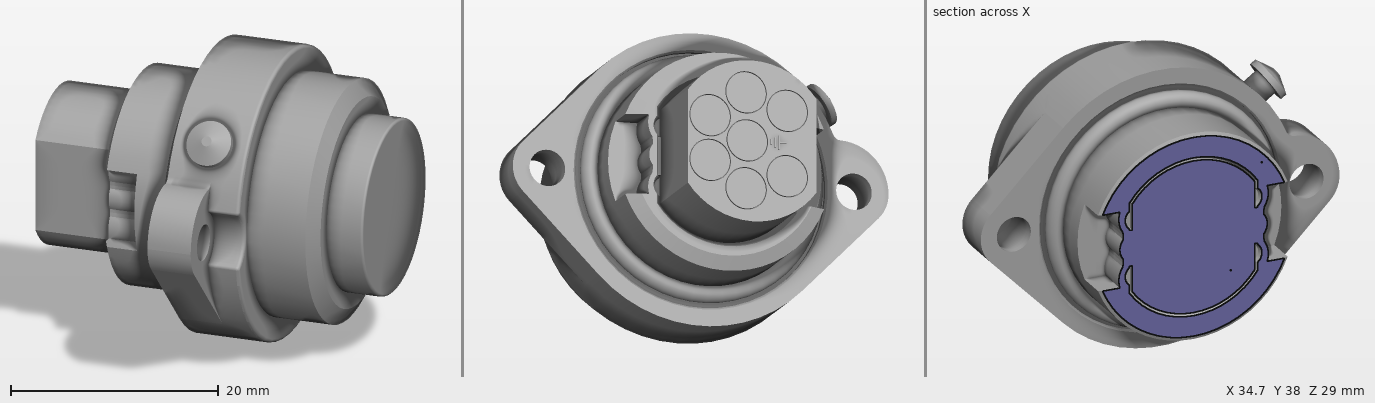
import cadquery as cq
import math


insert_face = -16.25
body_face = -8.2
slot_end = -4.45
ear_back = 4.45
flange_back = 7.6
nut_back = 14.55
rear_end = 18.25

body_radius = 21.6 / 2
body_chamfer_length = 0.65
body_chamfer_height = 1.35
nut_radius = 24.0 / 2
nut_chamfer_length = 0.95
nut_chamfer_height = 1.65
collar_radius = 17.4 / 2
collar_fillet = 0.25

flange_radius = 29.0 / 2
flange_fillet = 0.35
hole_offset = 15.5
hole_diameter = 3.6
ear_radius = 3.5
wide_ear_radius = 5.0
ear_tip = hole_offset + ear_radius
wide_ear_fillet = 0.8
ear_back_fillet = 0.25
relief_radius = 3.0
relief_fillet = 0.3

groove_radius = 25.7 / 2
groove_rim_chamfer = 0.2
groove_depth = 0.65
ring_section_radius = 0.95
ring_outer_radius = 12.25
ring_center_x = groove_depth - ring_section_radius

insert_radius = 7.98
insert_half_width = 6.5
contact_circle_radius = 4.8
contact_angles = (42.5, 97.5, 152.5)
center_contact_y = 0.5
contact_diameter = 4.0
contact_gap = 0.1
contact_groove_depth = 0.3

mark_height = 0.2
mark_line = 0.15
mark_bars = ((1.9, 0.27), (2.28, 0.5), (2.67, 0.7))
mark_stem_end = 3.4

lead_in_depth = 0.95
lead_in_width = 0.55
land_half_height = 1.9
land_offset = 6.8
scallop_offset = 6.05
scallop_height = 2.95
scallop_mouth_radius = 1.35
scallop_floor_radius = 1.0

slot_half_height = 3.95
rib_peak = 7.83
rib_valley = 7.46
outer_rib_peak = 7.93
rib_half_width = 1.05
valley_end = 1.4
outer_rib_start = 1.8
outer_rib_start_offset = 7.52
outer_rib_center = 2.95
outer_rib_end_offset = 7.83

stud_x = 4.3
stud_angle = 35.0
stud_stem_diameter = 2.85
stud_head_diameter = 4.5
stud_tip_diameter = 1.0
stud_head_start = 16.05
stud_rim_thickness = 0.65
stud_cone_height = 0.75


def plane_at(x):
    """Sketch plane facing +X whose local axes are global Y and Z."""
    return cq.Workplane("YZ", origin=(x, 0, 0))


def cylinder(start, end, radius):
    return plane_at(start).circle(radius).extrude(end - start)


def revolve_about_axis(profile):
    return profile.revolve(360, (0, 0, 0), (1, 0, 0))


def make_turned_body():
    profile = (
        cq.Workplane("XY")
        .moveTo(body_face, 0)
        .lineTo(body_face, body_radius - body_chamfer_height)
        .lineTo(body_face + body_chamfer_length, body_radius)
        .lineTo(ear_back, body_radius)
        .lineTo(ear_back, nut_radius)
        .lineTo(nut_back - nut_chamfer_length, nut_radius)
        .lineTo(nut_back, nut_radius - nut_chamfer_height)
        .lineTo(nut_back, 0)
        .close()
    )
    collar = cylinder(nut_back, rear_end, collar_radius).faces(">X").edges().fillet(collar_fillet)
    return revolve_about_axis(profile).union(collar)


def round_slim_ear(plate):
    """Round the rear edge of the +Y half of the ear plate, leaving the -Y half sharp."""
    half_space = cq.Workplane("XY").box(
        2 * flange_radius, 2 * flange_radius, 4 * flange_radius, centered=(True, False, True)
    )
    slim_half = plate.intersect(half_space).faces(">X").edges("not <Y").fillet(ear_back_fillet)
    return plate.cut(half_space).union(slim_half)


def make_ear_plate():
    """Flange outline with a slim ear on +Y and an ear on -Y that is wider above its hole."""
    tangent_angle = math.acos((flange_radius - ear_radius) / hole_offset)
    cos_t = math.cos(tangent_angle)
    sin_t = math.sin(tangent_angle)
    rim = (flange_radius * cos_t, flange_radius * sin_t)
    ear = (hole_offset + ear_radius * cos_t, ear_radius * sin_t)

    wide_center = ear_tip - wide_ear_radius
    corner_y = (flange_radius**2 - wide_ear_radius**2 + wide_center**2) / (2 * wide_center)
    corner_z = math.sqrt(flange_radius**2 - corner_y**2)
    mid_angle = math.radians(45)
    wide_mid = (
        -wide_center - wide_ear_radius * math.cos(mid_angle),
        wide_ear_radius * math.sin(mid_angle),
    )
    half_angle = tangent_angle / 2
    slim_mid = (-hole_offset - ear_radius * math.cos(half_angle), -ear_radius * math.sin(half_angle))

    plate = (
        plane_at(0)
        .moveTo(*rim)
        .threePointArc((0, flange_radius), (-corner_y, corner_z))
        .threePointArc(wide_mid, (-ear_tip, 0))
        .threePointArc(slim_mid, (-ear[0], -ear[1]))
        .lineTo(-rim[0], -rim[1])
        .threePointArc((0, -flange_radius), (rim[0], -rim[1]))
        .lineTo(ear[0], -ear[1])
        .threePointArc((ear_tip, 0), ear)
        .close()
        .extrude(ear_back)
    )
    corner = cq.selectors.NearestToPointSelector((ear_back / 2, -corner_y, corner_z))
    plate = plate.edges(corner).fillet(wide_ear_fillet)
    return round_slim_ear(plate)


def make_flange():
    drum = cylinder(0, flange_back, flange_radius)
    ear_centers = [(-hole_offset, 0), (hole_offset, 0)]
    reliefs = plane_at(ear_back).pushPoints(ear_centers).circle(relief_radius).extrude(rear_end)
    drum = drum.cut(reliefs)
    relief_zone = cq.selectors.BoxSelector(
        (ear_back, -ear_tip, -relief_radius), (flange_back, ear_tip, relief_radius)
    )
    drum = drum.edges("|X").edges(relief_zone).fillet(relief_fillet)
    drum = drum.faces(">X").edges().fillet(flange_fillet)
    holes = plane_at(0).pushPoints(ear_centers).circle(hole_diameter / 2).extrude(ear_back)
    return drum.union(make_ear_plate()).cut(holes)


def make_groove():
    profile = (
        cq.Workplane("XY")
        .moveTo(0, body_radius)
        .lineTo(groove_depth, body_radius)
        .lineTo(groove_depth, groove_radius - groove_rim_chamfer)
        .lineTo(groove_rim_chamfer, groove_radius - groove_rim_chamfer)
        .lineTo(0, groove_radius)
        .close()
    )
    return revolve_about_axis(profile)


def make_seal_ring():
    ring_center = (ring_center_x, ring_outer_radius - ring_section_radius)
    return revolve_about_axis(cq.Workplane("XY").moveTo(*ring_center).circle(ring_section_radius))


def make_slot(side):
    """Ribbed-floor slot on one side of the body; side is +1 or -1 along Y."""
    valley = side * rib_valley
    rib_start = side * outer_rib_start_offset
    end_offset = side * outer_rib_end_offset
    outer = side * flange_radius
    return (
        plane_at(body_face)
        .moveTo(outer, -slot_half_height)
        .lineTo(end_offset, -slot_half_height)
        .threePointArc((side * outer_rib_peak, -outer_rib_center), (rib_start, -outer_rib_start))
        .lineTo(valley, -valley_end)
        .lineTo(valley, -rib_half_width)
        .threePointArc((side * rib_peak, 0), (valley, rib_half_width))
        .lineTo(valley, valley_end)
        .lineTo(rib_start, outer_rib_start)
        .threePointArc((side * outer_rib_peak, outer_rib_center), (end_offset, slot_half_height))
        .lineTo(outer, slot_half_height)
        .close()
        .extrude(slot_end - body_face)
    )


def double_flat(workplane, margin):
    """Insert outline, a circle with two flats, grown outward by a margin."""
    radius = insert_radius + margin
    half_width = insert_half_width + margin
    flat_top = math.sqrt(radius**2 - half_width**2)
    return (
        workplane.moveTo(half_width, flat_top)
        .threePointArc((0, radius), (-half_width, flat_top))
        .lineTo(-half_width, -flat_top)
        .threePointArc((0, -radius), (half_width, -flat_top))
        .close()
    )


def make_lead_in():
    """Tapered pocket around the insert, with two scallops beside each flat."""
    mouth = double_flat(plane_at(body_face), lead_in_width)
    pocket = double_flat(mouth.workplane(offset=lead_in_depth), 0).loft(ruled=True)
    land_width = land_offset - insert_half_width
    ledge_x = body_face + lead_in_depth * (1 - land_width / lead_in_width)
    for side in (1, -1):
        land_center = side * (insert_half_width + land_width / 2)
        land = plane_at(ledge_x).center(land_center, 0).rect(land_width, 2 * land_half_height)
        pocket = pocket.cut(land.extrude(lead_in_depth))
    for side in (1, -1):
        for height in (scallop_height, -scallop_height):
            scallop = (
                plane_at(body_face)
                .center(side * scallop_offset, height)
                .circle(scallop_mouth_radius)
                .workplane(offset=lead_in_depth)
                .circle(scallop_floor_radius)
                .loft()
            )
            pocket = pocket.union(scallop)
    return pocket


def make_insert():
    insert = double_flat(plane_at(insert_face), 0).extrude(-insert_face)
    contacts = [(center_contact_y, 0)]
    for angle in contact_angles:
        y = -contact_circle_radius * math.cos(math.radians(angle))
        z = contact_circle_radius * math.sin(math.radians(angle))
        contacts += [(y, z), (y, -z)]
    outer = plane_at(insert_face).pushPoints(contacts).circle(contact_diameter / 2 + contact_gap)
    inner = plane_at(insert_face).pushPoints(contacts).circle(contact_diameter / 2)
    ring_grooves = outer.extrude(contact_groove_depth).cut(inner.extrude(contact_groove_depth))
    return insert.cut(ring_grooves)


def make_earth_mark():
    last_bar = mark_bars[-1][0]
    stem_length = mark_stem_end - last_bar
    mark = plane_at(insert_face).center(-last_bar - stem_length / 2, 0).rect(stem_length, mark_line)
    mark = mark.extrude(-mark_height)
    for offset, half_height in mark_bars:
        bar = plane_at(insert_face).center(-offset, 0).rect(mark_line, 2 * half_height)
        mark = mark.union(bar.extrude(-mark_height))
    return mark


def make_stud():
    """Stud turned about its own axis, which points outward toward -Y and +Z."""
    angle = math.radians(stud_angle)
    axis_plane = cq.Plane(
        origin=(stud_x, 0, 0), xDir=(1, 0, 0), normal=(0, -math.cos(angle), math.sin(angle))
    )
    rim_end = stud_head_start + stud_rim_thickness
    stem_start = flange_radius - stud_stem_diameter / 2
    stem = cq.Workplane(axis_plane).workplane(offset=stem_start).circle(stud_stem_diameter / 2)
    rim = cq.Workplane(axis_plane).workplane(offset=stud_head_start).circle(stud_head_diameter / 2)
    cone = (
        cq.Workplane(axis_plane)
        .workplane(offset=rim_end)
        .circle(stud_head_diameter / 2)
        .workplane(offset=stud_cone_height)
        .circle(stud_tip_diameter / 2)
        .loft()
    )
    return stem.extrude(stud_head_start - stem_start).union(rim.extrude(stud_rim_thickness)).union(cone)


body = make_turned_body().union(make_flange()).cut(make_groove())
body = body.cut(make_slot(1)).cut(make_slot(-1)).cut(make_lead_in())
result = body.union(make_seal_ring()).union(make_insert()).union(make_earth_mark()).union(make_stud())